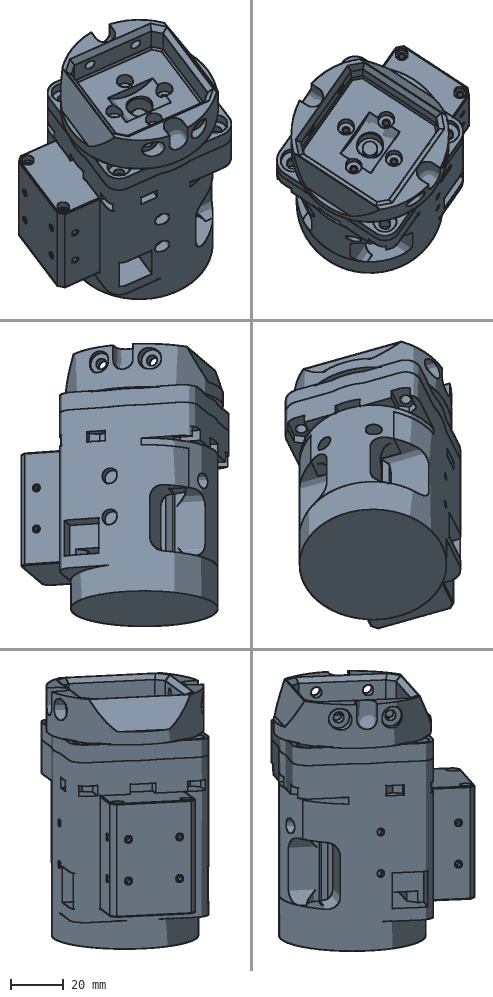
import cadquery as cq
import math

total_height = 96.6
body_radius = 28.0
flange_half = 27.2
flange_corner_radius = 6.1
overshoot = 1.0
side_signs = (-1, 1)
down = (0, 0, -1)

front_flange_bottom = 11.0
opening_bottom = 15.9
flange_bottom = 60.0
plate_bottom = 73.0
head_bottom = 79.6
plate_top = 79.9
head_floor = 84.6

head_diameter = 60.0
head_radius = head_diameter / 2
slope_top_y = 22.4
slope_bottom_y = 28.2
pocket_half = 20.2
pocket_corner = 3.3
pocket_top_chamfer = 2.0
pocket_floor_chamfer = 0.8
head_feature_z = 90.8
notch_radius = 4.0
notch_round_x = 26.3
side_hole_y = 10.0
side_hole_radius = 2.0
side_bore_radius = 4.2
side_bore_floor_x = 24.7
dish_half_x = 7.0
dish_half_y = 9.9
dish_depth = 4.1
centre_hole_radius = 5.0
head_screw_offset = 11.0
head_screw_bore_radius = 3.1

flange_screw_offset = 21.3
flange_screw_radius = 2.1
flange_screw_bore_radius = 4.4
flange_screw_bore_depth = 4.1
nut_slot_height = 4.0
nut_width = 7.15
side_slot_y = -11.4
side_slot_depth = 5.2
middle_slit_half = 4.9

drive_radius = 23.2
shaft_radius = 2.8
shaft_top = 76.3

panel_half = 16.8
box_front_y = -44.6
box_back_y = -22.2
box_corner_chamfer = 2.1
box_edge_chamfer = 0.4
row_low_z = 29.85
row_high_z = 46.0
row_heights = (row_low_z, row_high_z)
panel_screw_x = 10.0
screw_hole_radius = 1.1
screw_hole_rim_radius = 1.45
screw_hole_depth = 3.9
box_side_hole_y = -38.0
box_screw_x = 13.4
box_screw_y = -41.3
box_screw_bore_radius = 2.3
box_screw_bore_depth = 2.9
box_screw_depth = 9.7
cover_inner_y = 14.5
cover_tab_y = 6.6
cover_tab_bottom = 57.4
cover_bore_radius = 2.9
clamp_screw_y = -5.9
clamp_bore_radius = 3.0

grip_edge_y = 9.7
grip_slope_y = 11.7
grip_slope = 2.1
grip_floor_x = 8.9
grip_top = 42.0
grip_round = 5.3
lip_round = 6.0

window_back_y = -10.2
window_front_y = -24.15
window_top = 29.85
window_floor_x = 18.6
passage_top = 20.4
passage_front_y = -18.3
passage_flare = 3.6
seat_radius = 12.7
seat_top = 17.9


def block(x0, x1, y0, y1, z0, z1):
    """Box between two opposite corners."""
    return cq.Workplane("XY").box(x1 - x0, y1 - y0, z1 - z0, centered=False).translate((x0, y0, z0))


def rod(radius, z0, z1, x=0.0, y=0.0):
    """Upright cylinder."""
    return cq.Workplane("XY", origin=(x, y, z0)).circle(radius).extrude(z1 - z0)


def rod_along_x(radius, x0, x1, y, z):
    return cq.Workplane("YZ", origin=(x0, y, z)).circle(radius).extrude(x1 - x0)


def rod_along_y(radius, y0, y1, x, z):
    return cq.Workplane("XZ", origin=(x, y0, z)).circle(radius).extrude(y0 - y1)


def screw_hole(depth, start, direction, tip_length=0.0):
    """Small hole from `start` along `direction`, with a countersunk rim and an optional drill point."""
    rim_depth = screw_hole_rim_radius - screw_hole_radius
    profile = [(0, 0), (screw_hole_rim_radius, 0), (screw_hole_radius, rim_depth),
               (screw_hole_radius, depth), (0, depth + tip_length)]
    axis = cq.Vector(*direction)
    radial = cq.Vector(0, 1, 0) if direction[0] else cq.Vector(1, 0, 0)
    plane = cq.Plane(origin=start, xDir=radial, normal=radial.cross(axis))
    return cq.Workplane(plane).polyline(profile).close().revolve(360, (0, 0), (0, 1))


def rounded_square(z0, z1):
    """Flange outline: a square with round corners."""
    side = 2 * flange_half
    prism = cq.Workplane("XY", origin=(0, 0, z0)).rect(side, side).extrude(z1 - z0)
    return prism.edges("|Z").fillet(flange_corner_radius)


def on_both_sides(shape):
    """The shape and its mirror image across the YZ plane."""
    return shape.union(shape.mirror("YZ"))


def square_points(half):
    """Corners of a pocket outline: a square with cut corners, offset evenly from the pocket wall."""
    corner = pocket_corner + (half - pocket_half) * (2 - math.sqrt(2))
    short = half - corner
    return [(half, -short), (half, short), (short, half), (-short, half),
            (-half, short), (-half, -short), (-short, -half), (short, -half)]


def flared_square(half_low, z0, half_high, z1):
    """Square with cut corners that widens evenly from z0 to z1."""
    low = cq.Workplane("XY", origin=(0, 0, z0)).polyline(square_points(half_low)).close()
    high = low.workplane(offset=z1 - z0).polyline(square_points(half_high)).close()
    return high.loft(ruled=True, combine=True)


def head_pocket():
    wall_bottom = head_floor + pocket_floor_chamfer
    wall_top = total_height - pocket_top_chamfer
    walls = flared_square(pocket_half, wall_bottom, pocket_half, wall_top)
    foot = flared_square(pocket_half - pocket_floor_chamfer, head_floor, pocket_half, wall_bottom)
    mouth = flared_square(pocket_half, wall_top, pocket_half + pocket_top_chamfer, total_height)
    return walls.union(foot).union(mouth)


def head_slope():
    """Wedge cut from the front, leaving a sloped flat above a narrow ledge."""
    outside = head_radius + overshoot
    profile = [(-outside, head_floor), (-slope_bottom_y, head_floor),
               (-slope_top_y, total_height), (-outside, total_height)]
    return (cq.Workplane("YZ").polyline(profile).close()
            .extrude(head_radius, both=True))


def head_notch():
    """Side notch: round bottom and round inner end, open at the top."""
    length = head_radius + overshoot - notch_round_x
    plane = cq.Workplane("XY", origin=(notch_round_x, 0, head_feature_z))
    tip = (-notch_radius, 0)
    shoulder = -notch_radius * math.sqrt(0.5)
    lower = (plane.moveTo(*tip).threePointArc((shoulder, -shoulder), (0, notch_radius))
             .lineTo(length, notch_radius).lineTo(length, 0).close()
             .revolve(180, (0, 0), (-1, 0)))
    upper = (plane.moveTo(0, notch_radius).threePointArc(tip, (0, -notch_radius))
             .lineTo(length, -notch_radius).lineTo(length, notch_radius).close()
             .extrude(total_height - head_feature_z))
    return lower.union(upper)


def head_side_hole(y):
    outside = head_radius + overshoot
    hole = rod_along_x(side_hole_radius, 0, outside, y, head_feature_z)
    return hole.union(rod_along_x(side_bore_radius, side_bore_floor_x, outside, y, head_feature_z))


def head_dish():
    """Recess in the pocket floor with a hollow cylindrical bottom."""
    return (cq.Workplane("YZ").moveTo(-dish_half_y, head_floor)
            .threePointArc((0, head_floor - dish_depth), (dish_half_y, head_floor)).close()
            .extrude(dish_half_x, both=True))


def head_screw_points():
    offset = head_screw_offset
    return [(offset, 0), (0, offset), (-offset, 0), (0, -offset)]


def make_head():
    head = rod(head_radius, head_bottom, total_height)
    slope = head_slope()
    head = head.cut(slope).cut(slope.mirror("XZ"))
    head = head.cut(head_pocket()).cut(on_both_sides(head_notch()))
    for y in (-side_hole_y, side_hole_y):
        head = head.cut(on_both_sides(head_side_hole(y)))
    head = head.cut(head_dish()).cut(rod(centre_hole_radius, head_bottom, head_floor))
    for x, y in head_screw_points():
        head = head.cut(rod(head_screw_bore_radius, head_bottom, head_floor, x, y))
    return head


def flange_screw_points():
    return [(sx * flange_screw_offset, sy * flange_screw_offset) for sx in side_signs for sy in side_signs]


def make_plate():
    plate = rod(body_radius, plate_bottom, plate_top).union(rounded_square(plate_bottom, plate_top))
    plate = plate.cut(rod(head_radius, head_bottom, plate_top))
    plate = plate.cut(rod(centre_hole_radius, plate_bottom, plate_top))
    for x, y in head_screw_points():
        plate = plate.cut(screw_hole(head_bottom - plate_bottom, (x, y, head_bottom), down))
    for x, y in flange_screw_points():
        bore_floor = plate_top - flange_screw_bore_depth
        plate = plate.cut(rod(flange_screw_radius, plate_bottom, plate_top, x, y))
        plate = plate.cut(rod(flange_screw_bore_radius, bore_floor, plate_top, x, y))
    return plate


def make_drive():
    drive = rod(drive_radius, flange_bottom, plate_bottom)
    return drive.union(rod(shaft_radius, plate_bottom, shaft_top))


def grip_lip():
    """Rounded rim kept along the top and the bottom of the floor of the +X grip recess."""
    floor = grip_floor_x
    middle_z = (opening_bottom + grip_top) / 2
    lips = block(floor, floor + lip_round, cover_inner_y, body_radius, opening_bottom, grip_top)
    scoop = (cq.Workplane("XZ", origin=(floor + 2 * lip_round, 0, middle_z))
             .rect(4 * lip_round, grip_top - opening_bottom).extrude(-body_radius)
             .edges("|Y").fillet(lip_round))
    end_round = rod(lip_round, opening_bottom, grip_top, floor + lip_round, cover_inner_y)
    end_block = block(floor, floor + lip_round, cover_inner_y, cover_inner_y + lip_round,
                      opening_bottom, grip_top)
    return lips.cut(scoop).cut(end_round.intersect(end_block))


def make_grip():
    """Recess on the +X side, open to the outside, with a floor stepping outwards at its front."""
    outside = body_radius + overshoot
    step_x = grip_floor_x + grip_slope
    outline = [(outside, grip_edge_y), (step_x, grip_edge_y), (step_x, grip_slope_y),
               (grip_floor_x, grip_slope_y + grip_slope), (grip_floor_x, outside), (outside, outside)]
    recess = (cq.Workplane("XY", origin=(0, 0, opening_bottom)).polyline(outline).close()
              .extrude(grip_top - opening_bottom))
    rounded = block(0, outside, grip_edge_y, 2 * outside, opening_bottom, grip_top)
    rounded = rounded.edges("|X and <Y").fillet(grip_round)
    return recess.intersect(rounded).cut(grip_lip())


def cover_envelope():
    """Round panel at the back with a wider tab along its top."""
    rear = body_radius + overshoot
    panel = block(-panel_half, panel_half, cover_inner_y, rear, opening_bottom, flange_bottom)
    tab = block(-rear, rear, cover_tab_y, rear, cover_tab_bottom, flange_bottom)
    return panel.union(tab).intersect(rod(body_radius, opening_bottom, flange_bottom))


def make_cover(grips):
    cover = cover_envelope().cut(grips)
    for x in (-panel_screw_x, panel_screw_x):
        cover = cover.cut(rod_along_y(cover_bore_radius, cover_inner_y, body_radius, x, row_high_z))
    return cover


def make_box():
    box = block(-panel_half, panel_half, box_front_y, box_back_y, opening_bottom, flange_bottom)
    box = box.edges("|Z and <Y").chamfer(box_corner_chamfer)
    box = box.faces("<Z or >Z").edges("not >Y").chamfer(box_edge_chamfer)
    for side in side_signs:
        for z in row_heights:
            front_start = (side * panel_screw_x, box_front_y, z)
            side_start = (side * panel_half, box_side_hole_y, z)
            box = box.cut(screw_hole(screw_hole_depth, front_start, (0, 1, 0)))
            box = box.cut(screw_hole(screw_hole_depth, side_start, (-side, 0, 0)))

        x = side * box_screw_x
        bore_floor = flange_bottom - box_screw_bore_depth
        box = box.cut(rod(box_screw_bore_radius, bore_floor, flange_bottom, x, box_screw_y))
        box = box.cut(screw_hole(box_screw_depth, (x, box_screw_y, bore_floor), down, screw_hole_radius))
    return box


def housing_blank():
    """Round body with a square flange, whose front corners run far down."""
    upper = rounded_square(flange_bottom, plate_bottom)
    front = rounded_square(front_flange_bottom, plate_bottom)
    front = front.intersect(block(-body_radius, body_radius, -body_radius, 0, 0, plate_bottom))
    return rod(body_radius, 0, plate_bottom).union(upper).union(front)


def nut_slot(x, y, outer_y):
    """Slot for a hexagonal nut pushed in along Y; its inner end is pointed."""
    half = nut_width / 2
    inward = -math.copysign(1, outer_y)
    shoulder_y = y + inward * half / math.sqrt(3)
    point_y = y + inward * nut_width / math.sqrt(3)
    outline = [(x - half, outer_y), (x - half, shoulder_y), (x, point_y),
               (x + half, shoulder_y), (x + half, outer_y)]
    return (cq.Workplane("XY", origin=(0, 0, flange_bottom)).polyline(outline).close()
            .extrude(nut_slot_height))


def side_slot():
    """Nut slot opening on the flat +X face."""
    half = nut_width / 2
    point_x = flange_half - side_slot_depth
    shoulder_x = point_x + half / math.sqrt(3)
    outline = [(body_radius, side_slot_y - half), (shoulder_x, side_slot_y - half), (point_x, side_slot_y),
               (shoulder_x, side_slot_y + half), (body_radius, side_slot_y + half)]
    return (cq.Workplane("XY", origin=(0, 0, flange_bottom)).polyline(outline).close()
            .extrude(nut_slot_height))


def side_windows():
    """Two side pockets joined by a low passage around a round seat."""
    pocket = block(window_floor_x, body_radius, window_front_y, window_back_y, opening_bottom, window_top)
    straight_x = window_floor_x - passage_flare
    wide_y = passage_front_y - passage_flare
    outline = [(-window_floor_x, window_back_y), (window_floor_x, window_back_y), (window_floor_x, wide_y),
               (straight_x, passage_front_y), (-straight_x, passage_front_y), (-window_floor_x, wide_y)]
    passage = (cq.Workplane("XY", origin=(0, 0, opening_bottom)).polyline(outline).close()
               .extrude(passage_top - opening_bottom))
    return on_both_sides(pocket).union(passage.cut(rod(seat_radius, opening_bottom, seat_top)))


def make_housing(grips):
    housing = housing_blank().cut(rod(drive_radius, flange_bottom, plate_bottom))
    housing = housing.cut(cover_envelope()).cut(grips)

    housing = housing.cut(block(-panel_half, panel_half, -body_radius, box_back_y,
                                opening_bottom, flange_bottom))

    for x, y in flange_screw_points():
        housing = housing.cut(rod(flange_screw_radius, flange_bottom, plate_bottom, x, y))
        housing = housing.cut(nut_slot(x, y, math.copysign(body_radius, y)))
    housing = housing.cut(on_both_sides(side_slot()))
    housing = housing.cut(block(-middle_slit_half, middle_slit_half, -body_radius, body_radius,
                                flange_bottom, flange_bottom + nut_slot_height))

    housing = housing.cut(side_windows())

    for z in row_heights:
        face_x = math.sqrt(body_radius**2 - clamp_screw_y**2)
        bore_floor_x = face_x - screw_hole_depth
        tapped = screw_hole(screw_hole_depth, (-face_x, clamp_screw_y, z), (1, 0, 0))
        housing = housing.cut(tapped)
        housing = housing.cut(rod_along_x(clamp_bore_radius, bore_floor_x, body_radius, clamp_screw_y, z))
    return housing


grips = on_both_sides(make_grip())
head = make_head()
plate = make_plate()
drive = make_drive()
housing = make_housing(grips)
cover = make_cover(grips)
box = make_box()

bodies = [head, plate, drive, housing, cover, box]
result = cq.Compound.makeCompound([body.solids().val() for body in bodies])